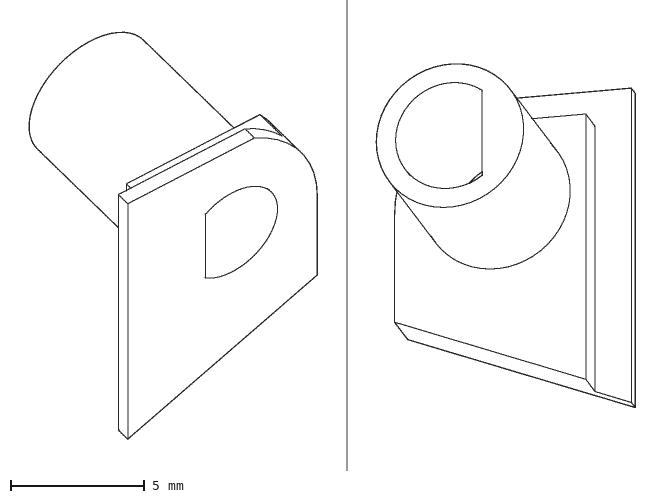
import cadquery as cq
import math


tube_length = 7.0
pad_thickness = 1.4
flange_thickness = 0.6
flange_start = tube_length + pad_thickness
overall_length = flange_start + flange_thickness

tube_radius = 2.85
bore_radius = 2.1
flat_offset = 1.25

flange_width = 8.8
flange_height = 12.52
sloped_edge_rise = 3.5
straight_side_y = -4.85
round_side_y = straight_side_y + flange_width
top_z = 4.40
bottom_z = top_z - flange_height

corner_radius = 5.42
corner_center_y = round_side_y - corner_radius
corner_center_z = -0.41
corner_end_angle = math.asin((top_z - corner_center_z) / corner_radius)

pad_setback = 1.4


def corner_point(angle):
    """Point on the rounded corner, with the angle measured from +Y towards +Z."""
    return (
        corner_center_y + corner_radius * math.cos(angle),
        corner_center_z + corner_radius * math.sin(angle),
    )


def extrude_outline(start_x, thickness):
    """Slab with the flange outline, growing along +X from start_x."""
    return (
        cq.Workplane("YZ")
        .workplane(offset=start_x)
        .moveTo(straight_side_y, bottom_z)
        .lineTo(round_side_y, bottom_z + sloped_edge_rise)
        .lineTo(*corner_point(0))
        .threePointArc(corner_point(corner_end_angle / 2), corner_point(corner_end_angle))
        .lineTo(straight_side_y, top_z)
        .close()
        .extrude(thickness)
    )


def make_flange():
    """Thin flange at the back of the part."""
    return extrude_outline(flange_start, flange_thickness)


def make_pad():
    """Raised pad: the flange outline trimmed back along its top and straight sides."""
    keep_block = (
        cq.Workplane("XY")
        .box(pad_thickness, flange_width, flange_height, centered=False)
        .translate((tube_length, straight_side_y + pad_setback, bottom_z - pad_setback))
    )
    return extrude_outline(tube_length, pad_thickness).intersect(keep_block)


def make_tube():
    """Solid cylinder from the open end to the face of the pad."""
    return cq.Workplane("YZ").circle(tube_radius).extrude(tube_length)


def make_bore():
    """D-shaped bore running through the whole part."""
    flat_half_height = math.sqrt(bore_radius**2 - flat_offset**2)
    return (
        cq.Workplane("YZ")
        .moveTo(-flat_offset, -flat_half_height)
        .threePointArc((bore_radius, 0), (-flat_offset, flat_half_height))
        .close()
        .extrude(overall_length)
    )


result = make_flange().union(make_pad()).union(make_tube()).cut(make_bore())